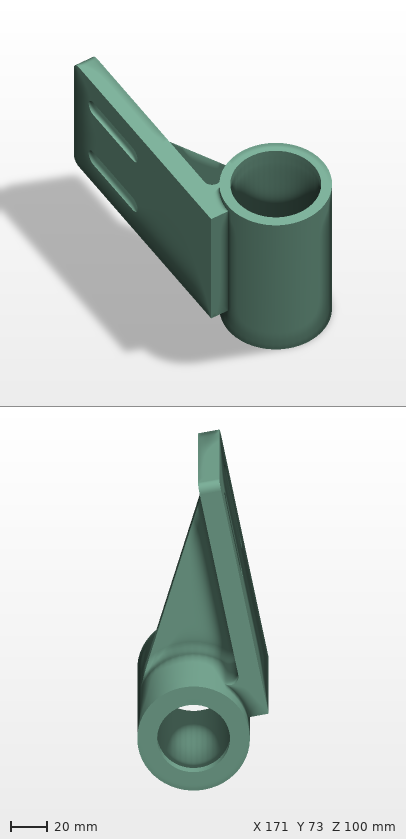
import cadquery as cq
import math

tube_diameter = 61.9
tube_radius = tube_diameter / 2
tube_length = 100.0
bore_diameter = 50.0
lip_diameter = 40.0
lip_height = (tube_diameter - bore_diameter) / 2

overall_length = 171.0
plate_length = overall_length - tube_radius
plate_thickness = 12.0
plate_height = 80.0
plate_top_drop = 4.0
plate_front_y = -42.0
plate_back_y = plate_front_y + plate_thickness
plate_mid_z = tube_length - plate_top_drop - plate_height / 2
corner_radius = 5.0

slot_length = 50.0
slot_width = 10.0
slot_edge_gap = 15.0
slot_spacing = plate_height / 2

rib_thickness = 8.0
rib_setback = 16.0
fillet_radius = 5.0
slope_overlap = 0.07
cut_margin = 1.7
match_tolerance = 0.02
blank_length = plate_length - corner_radius
blank_top_y = tube_radius + fillet_radius + cut_margin


def make_tube():
    return cq.Workplane("XY").circle(tube_radius).extrude(tube_length)


def make_plate():
    plate = cq.Workplane("XY").box(
        plate_length, plate_thickness, plate_height, centered=(False, False, True)
    )
    plate = plate.edges("|Y and <X").fillet(corner_radius)
    return plate.translate((-plate_length, plate_front_y, plate_mid_z))


def make_rib_blank():
    """Rectangular rib, oversized so that its rounds run past the sloping edge."""
    return (
        cq.Workplane("XY", origin=(-blank_length, plate_back_y, plate_mid_z - rib_thickness / 2))
        .rect(blank_length, blank_top_y - plate_back_y, centered=False)
        .extrude(rib_thickness)
    )


def make_slope_cutter():
    """Everything of the rib blank and its rounds beyond a line that just grazes the tube."""
    foot_x = rib_setback - plate_length
    foot_distance = math.hypot(foot_x, plate_back_y)
    slope_offset = tube_radius - slope_overlap
    slope_angle = math.atan2(-plate_back_y, -foot_x) + math.asin(slope_offset / foot_distance)
    cut_top_y = blank_top_y + cut_margin
    grazing_x = -slope_offset * math.sin(slope_angle)
    grazing_y = slope_offset * math.cos(slope_angle)
    return (
        cq.Workplane("XY", origin=(0, 0, plate_mid_z - plate_height / 4))
        .moveTo(foot_x, plate_back_y)
        .lineTo(grazing_x, grazing_y)
        .lineTo(0, grazing_y)
        .lineTo(0, cut_top_y)
        .lineTo(-plate_length, cut_top_y)
        .lineTo(-plate_length, plate_back_y)
        .close()
        .extrude(plate_height / 2)
    )


def fillet_center_x():
    """X of the center of the round tangent to both the plate back and the tube."""
    center_y = plate_back_y + fillet_radius
    return -math.sqrt((tube_radius + fillet_radius) ** 2 - center_y**2)


def make_plate_to_tube_fillet():
    """Fill the corner between plate and tube, leaving a concave round."""
    center_x = fillet_center_x()
    center_y = plate_back_y + fillet_radius
    tube_share = tube_radius / (tube_radius + fillet_radius)
    tube_touch = (center_x * tube_share, center_y * tube_share)
    start_angle = -math.pi / 2
    end_angle = math.atan2(-center_y, -center_x)
    middle_angle = (start_angle + end_angle) / 2
    arc_middle = (
        center_x + fillet_radius * math.cos(middle_angle),
        center_y + fillet_radius * math.sin(middle_angle),
    )
    return (
        cq.Workplane("XY", origin=(0, 0, plate_mid_z - plate_height / 2))
        .moveTo(center_x, plate_back_y)
        .threePointArc(arc_middle, tube_touch)
        .lineTo(0, 0)
        .lineTo(0, plate_back_y)
        .close()
        .extrude(plate_height)
    )


def all_near(values, target):
    return all(abs(value - target) < match_tolerance for value in values)


def rib_root_edges(body):
    """Edges where the two flat rib faces meet the plate, the corner round and the tube."""
    edges = []
    for side in (-1, 1):
        z = plate_mid_z + side * rib_thickness / 2
        for edge in body.edges("#Z").vals():
            box = edge.BoundingBox()
            on_face = all_near((box.zmin, box.zmax), z)
            on_tube_or_round = edge.geomType() == "CIRCLE"
            on_plate = all_near((box.ymin, box.ymax), plate_back_y)
            if on_face and (on_tube_or_round or on_plate):
                edges.append(edge)
    return edges


def cut_slots(body):
    slot_x = -plate_length + slot_edge_gap + slot_length / 2
    for side in (-1, 1):
        slot = (
            cq.Workplane("XZ", origin=(slot_x, plate_back_y, plate_mid_z + side * slot_spacing / 2))
            .slot2D(slot_length, slot_width)
            .extrude(plate_thickness)
        )
        body = body.cut(slot)
    return body


def cut_bore(body):
    through_hole = cq.Workplane("XY").circle(lip_diameter / 2).extrude(tube_length)
    bore = (
        cq.Workplane("XY", origin=(0, 0, lip_height))
        .circle(bore_diameter / 2)
        .extrude(tube_length - lip_height)
    )
    return body.cut(through_hole).cut(bore)


body = make_tube().union(make_plate()).union(make_plate_to_tube_fillet()).union(make_rib_blank())
body = body.newObject(rib_root_edges(body)).fillet(fillet_radius)
body = body.cut(make_slope_cutter()).union(make_tube())
result = cut_bore(cut_slots(body))